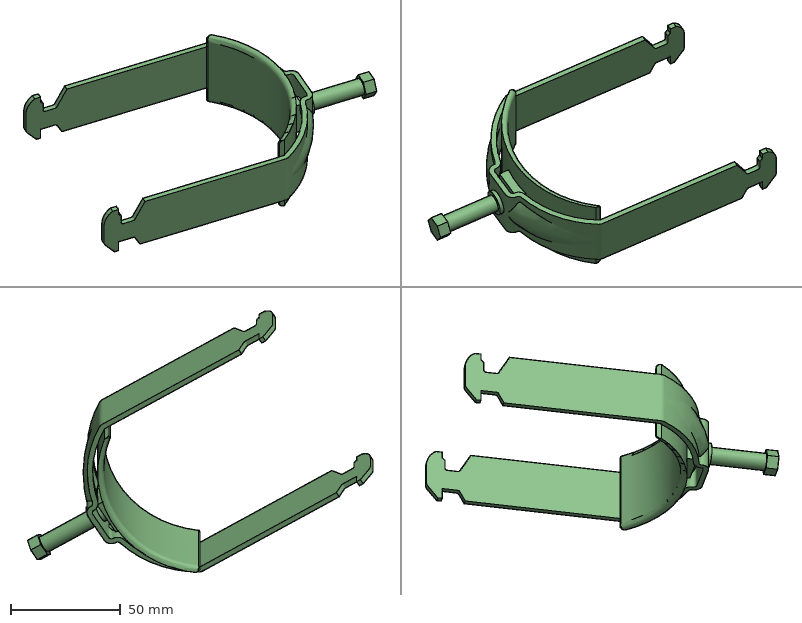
import cadquery as cq
import math


strap_span = 88.0
strap_width = 25.0
sheet = 2.5
bend_inner_radius = 1.5
crown_half_length = 6.9
bow_outer_radius = 51.0
leg_end = -121.3

upper_notch_start = -100.7
lower_notch_start = -103.2
neck_start = -106.1
neck_top = 3.0
neck_bottom = -7.2
throat_y = -112.6
throat_top = 8.1
throat_fillet = 1.0
barb_y = -113.95
upper_barb_length = 3.0
nose_arc_end = 4.8
lower_barb_length = 2.1
chamfer_top = -6.0
chamfer_fillet = 3.0

bead_start_angle = 18.0
bead_rise = 4.2
bead_start_radius = 7.5
bead_end_radius = 18.0
bead_wall = 2.3

bolt_diameter = 8.0
head_across_flats = 10.0
head_height = 5.4
clamp_length = 154.5
head_top = leg_end + clamp_length
collar_diameter = 11.6
collar_height = 1.9

saddle_length = 80.0
saddle_width = 40.0
saddle_z = 0.5
saddle_top = -9.65
saddle_outer_radius = 51.2
saddle_thickness = 2.9
saddle_inner_radius = 48.9
saddle_edge_fillet = 2.6
saddle_tip_y = -31.3
saddle_tip_chamfer = 1.2
block_size = 16.2
block_top = -5.5

bend_radius = bend_inner_radius + sheet / 2
bend_outer_radius = bend_inner_radius + sheet
bow_radius = bow_outer_radius - sheet / 2
leg_x = strap_span / 2 - sheet / 2
crown_y = -sheet / 2
s_bend_y = crown_y - bend_radius
foot_bend_x = crown_half_length + 2 * bend_radius
bow_start = math.asin(foot_bend_x / (bow_radius + bend_radius))
bow_centre_y = s_bend_y - (bow_radius + bend_radius) * math.cos(bow_start)
shoulder_x = leg_x - bend_radius
bow_end = math.asin(shoulder_x / (bow_radius - bend_radius))
shoulder_y = bow_centre_y + (bow_radius - bend_radius) * math.cos(bow_end)

crown_turn = math.pi / 4
foot_turn = math.pi + (math.pi / 2 + bow_start) / 2
bow_middle = (bow_start + bow_end) / 2
shoulder_turn = (bow_end + math.pi / 2) / 2


def on_circle(centre_x, centre_y, radius, angle):
    """Point on a circle, with the angle measured from +Y towards +X."""
    return (centre_x + radius * math.sin(angle), centre_y + radius * math.cos(angle))


def on_bow(angle, radius=bow_radius):
    return on_circle(0, bow_centre_y, radius, angle)


def bent_half():
    """Bent sheet from the middle of the crown to the end of one leg."""
    s_middle = (crown_half_length + bend_radius, s_bend_y)
    path = (
        cq.Workplane("XY")
        .moveTo(0, crown_y)
        .lineTo(crown_half_length, crown_y)
        .threePointArc(on_circle(crown_half_length, s_bend_y, bend_radius, crown_turn), s_middle)
        .threePointArc(on_circle(foot_bend_x, s_bend_y, bend_radius, foot_turn), on_bow(bow_start))
        .threePointArc(on_bow(bow_middle), on_bow(bow_end))
        .threePointArc(on_circle(shoulder_x, shoulder_y, bend_radius, shoulder_turn), (leg_x, shoulder_y))
        .lineTo(leg_x, leg_end)
    )
    section = cq.Workplane("YZ").center(crown_y, 0).rect(sheet, strap_width)
    return section.sweep(path)


def bead_barrel(inset):
    """Body of revolution whose crest follows the bead, moved inwards by `inset`."""
    start = on_circle(crown_half_length, s_bend_y, bend_outer_radius, math.radians(bead_start_angle))
    end = on_bow(bow_end, bow_outer_radius)
    chord = math.dist(start, end)
    slope = math.atan2(start[1] - end[1], end[0] - start[0])
    crest_radius = (chord**2 / 4 + bead_rise**2) / (2 * bead_rise)
    half_angle = math.asin(chord / 2 / crest_radius)
    chord_middle = ((start[0] + end[0]) / 2, (start[1] + end[1]) / 2)
    crest_centre = on_circle(*chord_middle, bead_rise - crest_radius, slope)
    radius = crest_radius - inset
    axis_start = on_circle(*start, -bead_start_radius, slope)
    axis_end = on_circle(*end, -bead_end_radius, slope)
    return (
        cq.Workplane("XY")
        .moveTo(*axis_start)
        .lineTo(*on_circle(*crest_centre, radius, slope - half_angle))
        .threePointArc(
            on_circle(*crest_centre, radius, slope), on_circle(*crest_centre, radius, slope + half_angle)
        )
        .lineTo(*axis_end)
        .close()
        .revolve(360, axis_start, axis_end)
    )


def above_sheet():
    """Everything on the outer side of the inner face of the S-bend and the bow."""
    inner_bow = bow_radius - sheet / 2
    return (
        cq.Workplane("XY")
        .moveTo(crown_half_length, -sheet)
        .threePointArc(
            on_circle(crown_half_length, s_bend_y, bend_inner_radius, crown_turn),
            (crown_half_length + bend_inner_radius, s_bend_y),
        )
        .threePointArc(
            on_circle(foot_bend_x, s_bend_y, bend_outer_radius, foot_turn), on_bow(bow_start, inner_bow)
        )
        .threePointArc(on_bow(bow_middle, inner_bow), on_bow(bow_end, inner_bow))
        .lineTo(*on_bow(bow_end, bow_outer_radius))
        .lineTo(strap_span / 2, 0)
        .lineTo(crown_half_length, 0)
        .close()
        .extrude(strap_width / 2, both=True)
    )


def leg_outline():
    """Side outline of the strap, ending in the hook."""
    edge = strap_width / 2
    upper_nose = barb_y - upper_barb_length
    lower_nose = barb_y - lower_barb_length
    throat_step = throat_y - barb_y
    nose_drop = edge - nose_arc_end
    nose_length = upper_nose - leg_end
    nose_radius = (nose_length**2 + nose_drop**2) / (2 * nose_length)
    nose_turn = math.asin(nose_drop / nose_radius) / 2
    nose_middle = (
        leg_end + nose_radius * (1 - math.cos(nose_turn)),
        nose_arc_end + nose_radius * math.sin(nose_turn),
    )
    outline = (
        cq.Workplane("YZ")
        .moveTo(0, edge)
        .lineTo(upper_notch_start, edge)
        .lineTo(neck_start, neck_top)
        .lineTo(throat_y, neck_top)
        .lineTo(throat_y, throat_top)
        .lineTo(barb_y, throat_top + throat_step)
        .lineTo(barb_y, edge)
        .lineTo(upper_nose, edge)
        .threePointArc(nose_middle, (leg_end, nose_arc_end))
        .lineTo(leg_end, chamfer_top)
        .lineTo(lower_nose, -edge)
        .lineTo(barb_y, -edge)
        .lineTo(barb_y, neck_bottom)
        .lineTo(neck_start, neck_bottom)
        .lineTo(lower_notch_start, -edge)
        .lineTo(0, -edge)
        .close()
        .extrude(strap_span / 2)
    )
    middle_x = strap_span / 4
    for y, z, radius in (
        (neck_start, neck_top, throat_fillet),
        (neck_start, neck_bottom, throat_fillet),
        (throat_y, neck_top, throat_fillet),
        (leg_end, chamfer_top, chamfer_fillet),
    ):
        corner = cq.selectors.NearestToPointSelector((middle_x, y, z))
        outline = outline.edges("|X").edges(corner).fillet(radius)
    return outline


def make_strap():
    half = bent_half().intersect(leg_outline())
    bead = bead_barrel(0).intersect(above_sheet())
    half = half.union(bead).cut(bead_barrel(bead_wall))
    bolt_hole = cq.Workplane("XZ").circle(bolt_diameter / 2).extrude(sheet)
    return half.union(half.mirror("YZ")).cut(bolt_hole)


def make_collar():
    return (
        cq.Workplane("XZ")
        .circle(collar_diameter / 2)
        .circle(bolt_diameter / 2)
        .extrude(-collar_height)
    )


def make_bolt():
    across_corners = head_across_flats / math.cos(math.pi / 6)
    shank = (
        cq.Workplane("XZ", origin=(0, block_top, 0))
        .circle(bolt_diameter / 2)
        .extrude(block_top - head_top)
    )
    head = (
        cq.Workplane("XZ", origin=(0, head_top, 0))
        .polygon(6, across_corners)
        .extrude(head_height)
    )
    return shank.union(head)


def make_saddle():
    """Curved pressure saddle with the block that takes the bolt end."""
    half_length = saddle_length / 2
    inner_top = saddle_top - saddle_thickness

    def arc_end_y(top, radius):
        return top - radius + math.sqrt(radius**2 - half_length**2)

    outer_end_y = arc_end_y(saddle_top, saddle_outer_radius)
    inner_end_y = arc_end_y(inner_top, saddle_inner_radius)
    shell = (
        cq.Workplane("XY", origin=(0, 0, saddle_z))
        .moveTo(-half_length, outer_end_y)
        .threePointArc((0, saddle_top), (half_length, outer_end_y))
        .lineTo(half_length, inner_end_y)
        .threePointArc((0, inner_top), (-half_length, inner_end_y))
        .close()
        .extrude(saddle_width / 2, both=True)
    )
    inner_rim = cq.selectors.RadiusNthSelector(0)
    shell = shell.edges("%CIRCLE").edges(inner_rim).fillet(saddle_edge_fillet)
    envelope_height = saddle_top - saddle_tip_y
    envelope = (
        cq.Workplane("XY", origin=(0, saddle_tip_y, saddle_z))
        .box(saddle_length, envelope_height, saddle_width, centered=(True, False, True))
        .faces("<Y")
        .edges("|X")
        .chamfer(saddle_tip_chamfer)
    )
    shell = shell.intersect(envelope)
    block_depth = block_top - saddle_top + saddle_thickness / 2
    block = cq.Workplane("XZ", origin=(0, block_top, 0)).rect(block_size, block_size).extrude(block_depth)
    return shell.union(block)


strap = make_strap()
collar = make_collar()
bolt = make_bolt()
saddle = make_saddle()

bodies = (strap, collar, bolt, saddle)
result = cq.Compound.makeCompound([body.solids().val() for body in bodies])